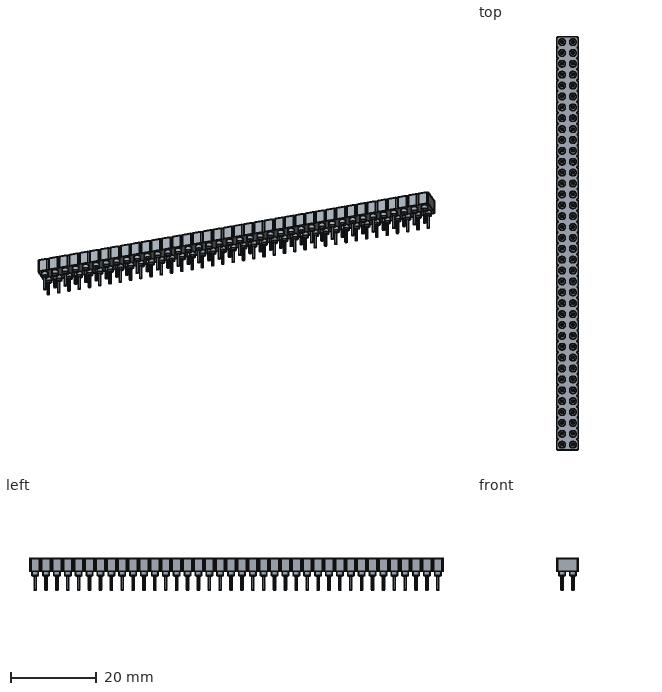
import cadquery as cq
import math

pitch = 2.54
column_count = 2
row_count = 38

body_width = column_count * pitch
body_length = row_count * pitch
body_height = 3.0
notch_size = 0.3

total_height = 7.43
collar_diameter = 1.52
collar_length = 0.95
taper_length = 0.25
pin_diameter = 0.51
pin_bottom = body_height - total_height

funnel_diameter = 1.52
bore_diameter = 0.51
funnel_depth = 0.58
socket_depth = 2.5


def body_outline():
    """Rectangle with bevelled corners and a V-notch between neighbouring rows on both sides."""
    half_width = body_width / 2
    right_side = []
    for row in range(row_count):
        cell_start = row * pitch - body_length / 2
        right_side.append((half_width - notch_size, cell_start))
        right_side.append((half_width, cell_start + notch_size))
        right_side.append((half_width, cell_start + pitch - notch_size))
    right_side.append((half_width - notch_size, body_length / 2))
    left_side = [(-x, y) for x, y in reversed(right_side)]
    return right_side + left_side


def turned(half_profile):
    """Solid of revolution about Z from an open profile that starts and ends on the axis."""
    return half_profile.close().revolve(360, (0, 0), (0, 1)).val()


def make_contact():
    """Collar, taper and round-ended pin, with the collar seated on the body underside."""
    collar_radius = collar_diameter / 2
    pin_radius = pin_diameter / 2
    taper_bottom = -collar_length - taper_length
    tip_center = pin_bottom + pin_radius
    tip_offset = pin_radius * math.sqrt(0.5)
    half_profile = (
        cq.Workplane("XZ")
        .lineTo(collar_radius, 0)
        .lineTo(collar_radius, -collar_length)
        .lineTo(pin_radius, taper_bottom)
        .lineTo(pin_radius, tip_center)
        .threePointArc((tip_offset, tip_center - tip_offset), (0, pin_bottom))
    )
    return turned(half_profile)


def make_socket():
    """Funnel and blind bore to be cut from the top face."""
    funnel_bottom = body_height - funnel_depth
    socket_bottom = body_height - socket_depth
    half_profile = [
        (0, body_height),
        (funnel_diameter / 2, body_height),
        (bore_diameter / 2, funnel_bottom),
        (bore_diameter / 2, socket_bottom),
        (0, socket_bottom),
    ]
    return turned(cq.Workplane("XZ").polyline(half_profile))


def at_every_position(shape):
    """Copies of a shape at each contact position of the grid."""
    grid = cq.Workplane("XY").rarray(pitch, pitch, column_count, row_count)
    return grid.eachpoint(lambda location: shape.moved(location))


body = cq.Workplane("XY").polyline(body_outline()).close().extrude(body_height)
result = body.cut(at_every_position(make_socket())).union(at_every_position(make_contact()))